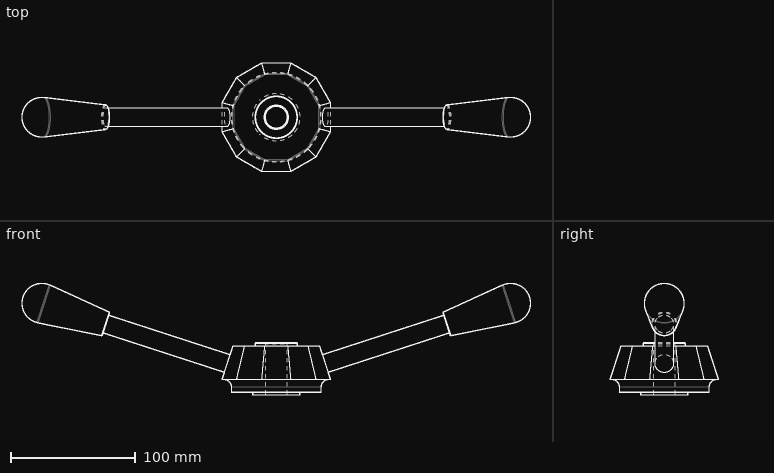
import cadquery as cq
import math

overall_length = 407.29
overall_height = 89.57

hub_sides = 12
hub_width = 87.02
hub_bottom_z = 12.5
hub_top_z = 39.5
hub_edge_radius = 1.0
base_diameter = 72.0
base_bottom_z = 2.0
base_flare_radius = 6.0
base_chamfer = 0.5
bottom_boss_diameter = 38.0
top_boss_diameter = 34.0
top_boss_z = 42.0
top_boss_chamfer = 0.5
bore_diameter = 17.5
bore_chamfer = 1.0

arm_angle = 18.0
arm_diameter = 15.0
ball_diameter = 32.0
knob_length = 54.0
knob_small_diameter = 20.0
knob_chamfer = 0.5
ball_overlap = 1.0
knob_band_length = 1.0

ball_radius = ball_diameter / 2
ball_center_x = overall_length / 2 - ball_radius
ball_center_z = overall_height - ball_radius
arm_length = ball_center_x / math.cos(math.radians(arm_angle))
arm_root_z = ball_center_z - ball_center_x * math.tan(math.radians(arm_angle))


def disc(diameter, bottom_z, top_z):
    """Solid cylinder on the hub axis."""
    return cq.Workplane("XY").workplane(offset=bottom_z).circle(diameter / 2).extrude(top_z - bottom_z)


def make_hub_body():
    """Tapered body whose faces stand square to the arms."""
    corner_diameter = hub_width / math.cos(math.pi / hub_sides)
    body = (
        cq.Workplane("XY")
        .workplane(offset=hub_bottom_z)
        .transformed(rotate=(0, 0, 180 / hub_sides))
        .polygon(hub_sides, corner_diameter)
        .extrude(hub_top_z - hub_bottom_z, taper=arm_angle)
    )
    return body.faces(">Z").edges().fillet(hub_edge_radius)


def make_base():
    """Round base flaring into the hub body, with its bottom rim broken by a chamfer."""
    radius = base_diameter / 2
    flare_bottom_z = hub_bottom_z - base_flare_radius
    flare_rim = radius + base_flare_radius
    flare_inset = base_flare_radius * math.sqrt(0.5)
    flare_middle = (flare_rim - flare_inset, flare_bottom_z + flare_inset)
    return (
        cq.Workplane("XZ")
        .moveTo(0, base_bottom_z)
        .lineTo(radius - base_chamfer, base_bottom_z)
        .lineTo(radius, base_bottom_z + base_chamfer)
        .lineTo(radius, flare_bottom_z)
        .threePointArc(flare_middle, (flare_rim, hub_bottom_z))
        .lineTo(0, hub_bottom_z)
        .close()
        .revolve(360, (0, 0, 0), (0, 1, 0))
    )


def make_arm():
    """Rod and knob along +X, tilted up about the arm root."""
    knob_start = arm_length - knob_length
    ball_start = arm_length - ball_overlap
    cone_end = ball_start - knob_band_length
    band_radius = math.sqrt(ball_radius**2 - ball_overlap**2)
    small_radius = knob_small_diameter / 2
    ball_inset = ball_radius * math.sqrt(0.5)
    ball_middle = (arm_length + ball_inset, ball_inset)
    arm = (
        cq.Workplane("XZ")
        .lineTo(0, arm_diameter / 2)
        .lineTo(knob_start, arm_diameter / 2)
        .lineTo(knob_start, small_radius - knob_chamfer)
        .lineTo(knob_start + knob_chamfer, small_radius)
        .lineTo(cone_end, band_radius)
        .lineTo(ball_start, band_radius)
        .threePointArc(ball_middle, (arm_length + ball_radius, 0))
        .close()
        .revolve(360, (0, 0, 0), (1, 0, 0))
    )
    return arm.rotate((0, 0, 0), (0, 1, 0), -arm_angle).translate((0, 0, arm_root_z))


def make_bore():
    """Through bore with a chamfered mouth at the top."""
    radius = bore_diameter / 2
    return (
        cq.Workplane("XZ")
        .lineTo(radius, 0)
        .lineTo(radius, top_boss_z - bore_chamfer)
        .lineTo(radius + bore_chamfer, top_boss_z)
        .lineTo(0, top_boss_z)
        .close()
        .revolve(360, (0, 0, 0), (0, 1, 0))
    )


def make_top_boss():
    """Low round boss on the hub's top face, with a chamfered rim."""
    return disc(top_boss_diameter, hub_top_z, top_boss_z).faces(">Z").chamfer(top_boss_chamfer)


hub = make_hub_body().union(make_base())
hub = hub.union(disc(bottom_boss_diameter, 0, base_bottom_z))
hub = hub.union(make_top_boss())

right_arm = make_arm()
part = hub.union(right_arm).union(right_arm.mirror("YZ"))
result = part.cut(make_bore())